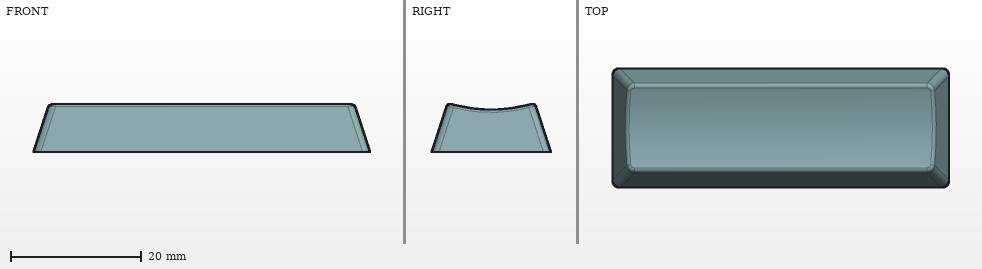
import cadquery as cq

base_length = 51.64
base_width = 18.3
corner_radius = 1.2
wall_draft = 18.0

dish_floor_height = 6.51
dish_radius = 22.2
blank_height = 9.0

rim_radius = 0.64


def tapered_block():
    """Solid block with drafted walls and rounded corners."""
    block = cq.Workplane("XY").rect(base_length, base_width).extrude(blank_height, taper=wall_draft)
    return block.edges("not(#Z or |X or |Y)").fillet(corner_radius)


def dish_cutter():
    """Cylinder along X whose lowest line is the dish floor."""
    axis_height = dish_floor_height + dish_radius
    return (
        cq.Workplane("YZ")
        .center(0, axis_height)
        .circle(dish_radius)
        .extrude(base_length, both=True)
    )


def rim_edges(body):
    """Edges of the dish surface, where it meets the walls and corners."""
    rim_zone = cq.selectors.BoxSelector(
        (-base_length, -base_width, dish_floor_height - rim_radius),
        (base_length, base_width, blank_height),
    )
    return body.edges(rim_zone)


dished_block = tapered_block().cut(dish_cutter())
result = rim_edges(dished_block).fillet(rim_radius)